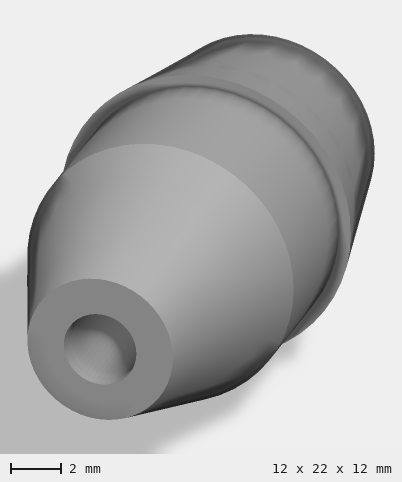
import cadquery as cq

total_length = 22.0
nose_length = 8.0
body_length = 6.0
nose_tip_diameter = 6.0
body_diameter = 11.0
shoulder_diameter = 12.0
tail_end_diameter = 9.0
bore_diameter = 3.0

body_start = nose_length
shoulder = body_start + body_length

bore_radius = bore_diameter / 2

half_section = (
    cq.Workplane("XY")
    .moveTo(bore_radius, 0)
    .lineTo(nose_tip_diameter / 2, 0)
    .lineTo(body_diameter / 2, body_start)
    .lineTo(body_diameter / 2, shoulder)
    .lineTo(shoulder_diameter / 2, shoulder)
    .lineTo(tail_end_diameter / 2, total_length)
    .lineTo(bore_radius, total_length)
    .close()
)

result = half_section.revolve(360, (0, 0, 0), (0, 1, 0))